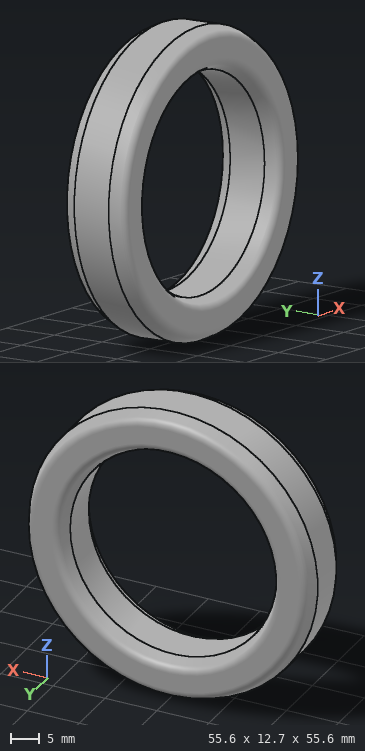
import cadquery as cq
import math

outer_radius = 27.8
bore_radius = 19.85
width = 12.7

land_width = 7.15
bevel_angle = 25.0
blend_radius = 1.55

half_width = width / 2
half_land = land_width / 2
bevel_depth = (half_width - half_land) * math.tan(math.radians(bevel_angle))
face_outer_radius = outer_radius - bevel_depth
face_inner_radius = bore_radius + bevel_depth


def bevelled_ring():
    """Revolve the bevelled section, X being the radius, around the Y axis."""
    section = [
        (bore_radius, -half_land),
        (face_inner_radius, -half_width),
        (face_outer_radius, -half_width),
        (outer_radius, -half_land),
        (outer_radius, half_land),
        (face_outer_radius, half_width),
        (face_inner_radius, half_width),
        (bore_radius, half_land),
    ]
    return cq.Workplane("XY").polyline(section).close().revolve(360, (0, 0, 0), (0, 1, 0))


result = bevelled_ring().faces("<Y or >Y").edges().fillet(blend_radius)